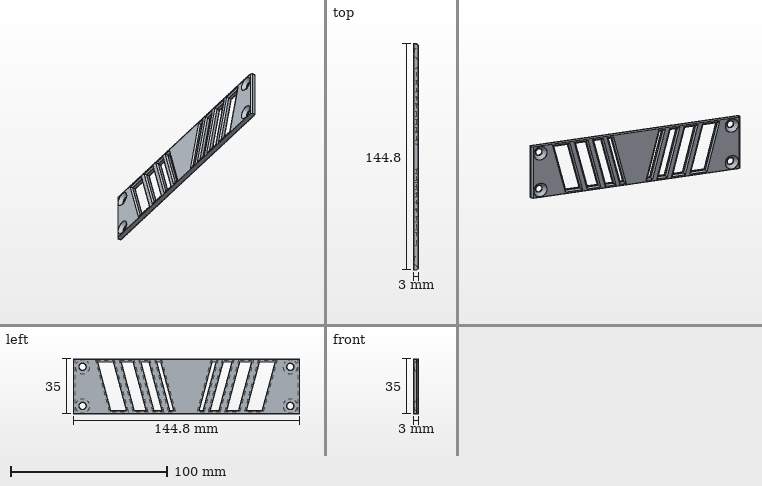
import cadquery as cq
import math

thickness = 3.0
length = 144.8
height = 35.0
edge_chamfer = 1.0

hole_diameter = 4.5
countersink_depth = 2.3
hole_spacing_y = 132.9
hole_spacing_z = 25.0

slot_height = 31.0
slot_lean_angle = 15.0
outer_edge = 52.5
slot_gap = 5.0
widths_positive_y = [10.0, 7.5, 5.0, 2.5]
extra_width = 0.5
widths_negative_y = [10.0, 7.5, 5.0 + extra_width, 2.5]
gaps_positive_y = [slot_gap, slot_gap, slot_gap]
gaps_negative_y = [slot_gap, slot_gap, slot_gap - extra_width]


def make_plate():
    """Flat plate with the two upright edges of its +X face chamfered."""
    plate = cq.Workplane("XY").box(thickness, length, height)
    return plate.faces(">X").edges("|Z").chamfer(edge_chamfer)


def make_holes():
    """Cylinders for the four corner holes."""
    return (
        cq.Workplane("YZ")
        .rect(hole_spacing_y, hole_spacing_z, forConstruction=True)
        .vertices()
        .circle(hole_diameter / 2)
        .extrude(thickness, both=True)
    )


def make_slot(side, outer, width):
    """Parallelogram prism; side is +1 or -1 along Y, outer is its outer edge at mid-height."""
    half_height = slot_height / 2
    lean = half_height * math.tan(math.radians(slot_lean_angle))
    inner = outer - width
    corners = [
        (side * (outer + lean), half_height),
        (side * (inner + lean), half_height),
        (side * (inner - lean), -half_height),
        (side * (outer - lean), -half_height),
    ]
    return cq.Workplane("YZ").polyline(corners).close().extrude(thickness, both=True)


def cut_slot_row(body, side, widths, gaps):
    """Cut one row of slots, working from the outermost one inward."""
    outer = outer_edge
    for width, gap in zip(widths, gaps + [0]):
        body = body.cut(make_slot(side, outer, width))
        outer -= width + gap
    return body


def chamfer_openings(body, edge_type, size):
    """Chamfer the +X rims of the openings whose edges are of the given type."""
    rims = body.faces(">X").val().innerWires()
    rim_edges = [edge for rim in rims for edge in rim.Edges() if edge.geomType() == edge_type]
    return body.newObject(rim_edges).chamfer(size)


result = make_plate().cut(make_holes())
result = cut_slot_row(result, 1, widths_positive_y, gaps_positive_y)
result = cut_slot_row(result, -1, widths_negative_y, gaps_negative_y)
result = chamfer_openings(result, "LINE", edge_chamfer)
result = chamfer_openings(result, "CIRCLE", countersink_depth)